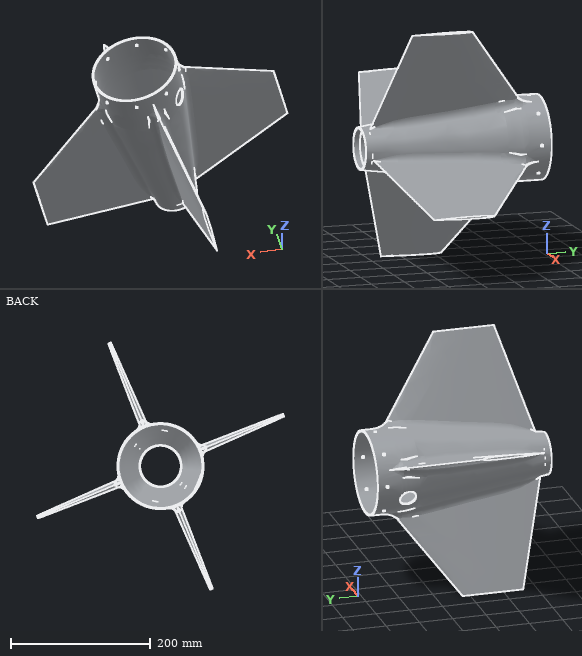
import cadquery as cq
import math

length = 270.0
collar_radius = 62.0
tail_radius = 31.0
collar_length = 33.6
shoulder_length = 31.2
wall = 2.0
tail_bore_length = 10.0

corner_y = length - collar_length - shoulder_length / 2
taper_angle = math.atan2(collar_radius - tail_radius, corner_y)
shoulder_radius = shoulder_length / 2 / math.tan(taper_angle / 2)

fin_count = 4
fin_pitch = 360.0 / fin_count
fin_roll = fin_pitch / 4
fin_tip_radius = 191.08
fin_root_radius = tail_radius - wall / 2
fin_tip_leading_y = 146.6
fin_tip_trailing_y = 55.6
fin_leading_slope = 0.70
fin_trailing_slope = 0.277
fin_thickness_ratio = 0.05
airfoil_steps = 14

fillet_joints = (
    (12.5, 0.5),
    (45.0, 12.5),
    (67.0, 15.0),
    (123.4, 15.0),
    (194.0, 16.5),
    (224.0, 15.5),
)
fillet_steps = 3

fillet_overlap = 0.05
foot_sink = 0.03

thinnest_half_top = 0.15

nose_start_y = fillet_joints[-1][0]
nose_tip_y = length - 19.0
nose_steps = 4
nose_ridge_radius = 31.0
nose_width_slope = 0.65
nose_tip_half_width = 0.3
nose_top_ratio = 0.1
nose_tip_height = 0.075

screw_count = 8
screw_diameter = 3.4
screw_y = length - 14.6

port_diameter = 24.5
port_y = length - 46.8
port_angle = fin_roll - 1.5 * fin_pitch


def revolved_body(inset):
    """Solid of revolution, everywhere inset from the outside: cone, tangent arc and collar."""
    radius = collar_radius - inset
    arc_radius = shoulder_radius - inset
    arc_end_y = length - collar_length
    arc_start = (
        radius - arc_radius * (1 - math.cos(taper_angle)),
        arc_end_y - arc_radius * math.sin(taper_angle),
    )
    arc_middle = (
        radius - arc_radius * (1 - math.cos(taper_angle / 2)),
        arc_end_y - arc_radius * math.sin(taper_angle / 2),
    )
    return (
        cq.Workplane("XY")
        .lineTo(tail_radius - inset / math.cos(taper_angle), 0)
        .lineTo(*arc_start)
        .threePointArc(arc_middle, (radius, arc_end_y))
        .lineTo(radius, length)
        .lineTo(0, length)
        .close()
        .revolve(360, (0, 0, 0), (0, 1, 0))
    )


def tail_cylinder(radius):
    return cq.Workplane("XZ").circle(radius).extrude(-tail_bore_length)


def cavity():
    """Hollow that leaves an even wall, narrowing to a plain bore at the tail."""
    bore = tail_cylinder(tail_radius - wall)
    return revolved_body(wall).cut(tail_cylinder(collar_radius)).union(bore)


def body_radius(y):
    """Outer radius of the body, taking the shoulder corner as sharp."""
    return tail_radius + (collar_radius - tail_radius) * min(y / corner_y, 1.0)


def leading_y(radius):
    return fin_tip_leading_y + fin_leading_slope * (fin_tip_radius - radius)


def trailing_y(radius):
    return fin_tip_trailing_y - fin_trailing_slope * (fin_tip_radius - radius)


def airfoil_half_thickness(s):
    """NACA four-digit half thickness per unit chord, closed at the trailing edge."""
    shape = 0.2969 * math.sqrt(s) - 0.1260 * s - 0.3516 * s**2 + 0.2843 * s**3 - 0.1036 * s**4
    return 5 * fin_thickness_ratio * shape


def fin_half_thickness(y, radius):
    chord = leading_y(radius) - trailing_y(radius)
    s = min(max((leading_y(radius) - y) / chord, 0.0), 1.0)
    return chord * airfoil_half_thickness(s)


def fin_section(radius):
    """Airfoil wire at a radius along +Z: thickness along X, chord along Y."""
    chord = leading_y(radius) - trailing_y(radius)
    flanks = []
    for side in (-1, 1):
        points = []
        for i in range(airfoil_steps + 1):
            s = (i / airfoil_steps) ** 2
            half = chord * airfoil_half_thickness(s)
            points.append(cq.Vector(side * half, leading_y(radius) - s * chord, radius))
        flanks.append(cq.Edge.makeSpline(points))
    return cq.Wire.assembleEdges(flanks)


def fin_blade():
    sections = [fin_section(fin_root_radius), fin_section(fin_tip_radius)]
    return cq.Workplane(cq.Solid.makeLoft(sections, True))


def flared_section(y, half_width, half_top, top):
    """Section at one Y: each flank is an arc that leaves the body tangentially and ends at the top."""
    radius = body_radius(y)
    tilt = math.asin(half_width / radius)
    normal = (math.sin(tilt), math.cos(tilt))
    foot = ((radius - foot_sink) * normal[0], (radius - foot_sink) * normal[1])
    chord = (half_top - foot[0], top - foot[1])
    chord_rise = chord[0] * normal[0] + chord[1] * normal[1]
    arc_radius = (chord[0] ** 2 + chord[1] ** 2) / (2 * chord_rise)
    centre = (foot[0] + arc_radius * normal[0], foot[1] + arc_radius * normal[1])
    to_chord = ((foot[0] + half_top) / 2 - centre[0], (foot[1] + top) / 2 - centre[1])
    reach = arc_radius / math.hypot(*to_chord)
    middle = (centre[0] + reach * to_chord[0], centre[1] + reach * to_chord[1])
    return (
        cq.Workplane(cq.Plane((0, y, 0), (1, 0, 0), (0, -1, 0)))
        .moveTo(-foot[0], foot[1])
        .threePointArc((-middle[0], middle[1]), (-half_top, top))
        .lineTo(half_top, top)
        .threePointArc(middle, foot)
        .close()
        .val()
    )


def fillet_section(y, fillet):
    """Flared section whose flanks are arcs of the fillet radius, tangent to fin and body."""
    radius = body_radius(y)
    half_top = max(fin_half_thickness(y, radius + fillet) - fillet_overlap, thinnest_half_top)
    top = math.sqrt((radius + fillet) ** 2 - (half_top + fillet) ** 2)
    half_width = (half_top + fillet) * radius / (radius + fillet)
    return flared_section(y, half_width, half_top, top)


def fillet_piece(start, end):
    """Smooth piece of the fillet between two joints."""
    sections = []
    for i in range(fillet_steps + 1):
        f = i / fillet_steps
        y = start[0] + f * (end[0] - start[0])
        fillet = start[1] + f * (end[1] - start[1])
        sections.append(fillet_section(y, fillet))
    return cq.Workplane(cq.Solid.makeLoft(sections, False))


def fillet_nose():
    """Front of the fillet, wrapping the leading edge and sharpening to a point on the collar."""
    sections = [fillet_section(*fillet_joints[-1])]
    for i in range(1, nose_steps + 1):
        y = nose_start_y + (nose_tip_y - nose_start_y) * i / nose_steps
        to_tip = nose_tip_y - y
        rise = nose_ridge_radius - math.sqrt(nose_ridge_radius**2 - to_tip**2)
        half_width = nose_tip_half_width + to_tip * nose_width_slope
        top = collar_radius + rise + nose_tip_height
        sections.append(flared_section(y, half_width, nose_top_ratio * half_width, top))
    return cq.Workplane(cq.Solid.makeLoft(sections, True))


def filleted_fin():
    fin = fin_blade().union(fillet_nose())
    for start, end in zip(fillet_joints, fillet_joints[1:]):
        fin = fin.union(fillet_piece(start, end))
    return fin


def around_axis(shape, angle):
    """Turn a shape about the Y axis, from +Z towards +X."""
    return shape.rotate((0, 0, 0), (0, 1, 0), angle)


def radial_drill(diameter, y):
    """Drill from the axis outwards along +Z."""
    return cq.Workplane("XY").center(0, y).circle(diameter / 2).extrude(collar_radius + wall)


fin = filleted_fin()
result = revolved_body(0)
for i in range(fin_count):
    result = result.union(around_axis(fin, fin_roll + i * fin_pitch))

result = result.cut(cavity())

screw_drill = radial_drill(screw_diameter, screw_y)
for i in range(screw_count):
    result = result.cut(around_axis(screw_drill, i * 360.0 / screw_count))

result = result.cut(around_axis(radial_drill(port_diameter, port_y), port_angle)).solids()